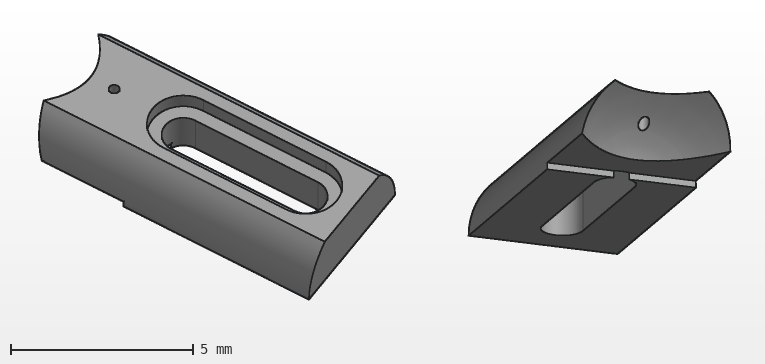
import cadquery as cq
import math

length = 9.17
height = 1.7
bar_radius = 2.187

relief_length = 3.12
relief_height = 0.19

slot_rear_margin = 1.5
slot_spacing = 4.0
slot_radius = 0.6
recess_radius = 1.0
recess_depth = 0.48

focal_length = 0.75
mirror_axis_z = -0.45
pinhole_diameter = 0.3

top_half_width = math.sqrt(bar_radius**2 - height**2)
corner_radius = math.hypot(top_half_width, height - mirror_axis_z)
mirror_depth = corner_radius**2 / (4 * focal_length)
focus_x = mirror_depth - focal_length

clearance = 0.46


def make_bar():
    """Cylinder along X, kept between z = 0 and the flat top."""
    cylinder = cq.Workplane("YZ").circle(bar_radius).extrude(length)
    slab = cq.Workplane("XY").box(length, 2 * bar_radius, height, centered=(False, True, False))
    return cylinder.intersect(slab)


def make_mirror():
    """Solid paraboloid that hollows the front end."""
    rim_radius = corner_radius + clearance
    rim_x = mirror_depth - rim_radius**2 / (4 * focal_length)

    def parabola(t):
        radius = rim_radius * t
        return (mirror_depth - radius**2 / (4 * focal_length), radius)

    return (
        cq.Workplane("XY")
        .parametricCurve(parabola, makeWire=False)
        .lineTo(rim_x, 0)
        .lineTo(mirror_depth, 0)
        .wire()
        .revolve(360, (0, 0, 0), (1, 0, 0))
        .translate((0, 0, mirror_axis_z))
    )


def make_slot(radius, bottom_z):
    """Round-ended slot body from bottom_z up to the flat top."""
    center_x = length - slot_rear_margin - slot_spacing / 2
    return (
        cq.Workplane("XY", origin=(center_x, 0, bottom_z))
        .slot2D(slot_spacing + 2 * radius, 2 * radius)
        .extrude(height - bottom_z)
    )


relief = cq.Workplane("XY").box(
    relief_length, 2 * bar_radius, relief_height, centered=(False, True, False)
)
pinhole = cq.Workplane("XY").center(focus_x, 0).circle(pinhole_diameter / 2).extrude(height)

result = (
    make_bar()
    .cut(relief)
    .cut(make_slot(slot_radius, 0))
    .cut(make_slot(recess_radius, height - recess_depth))
    .cut(make_mirror())
    .cut(pinhole)
)